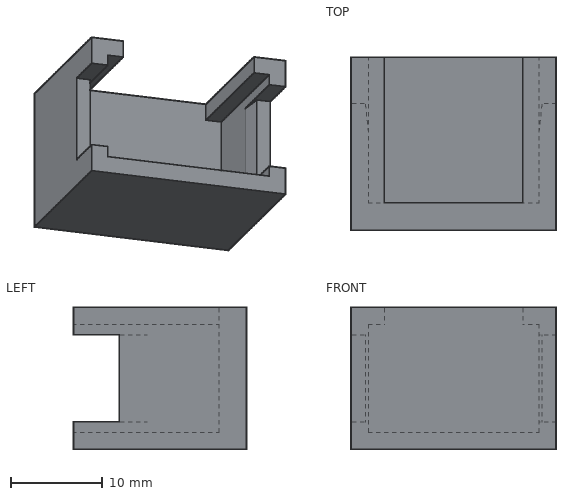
import cadquery as cq

width = 22.53
depth = 19.0
height = 15.6

side_wall = 1.9
front_wall = 3.05
floor_thickness = 1.87
lip_thickness = 1.87

lip_width = 3.67

notch_depth = 5.02
rail_height = 3.05

flare_length = 3.0
flare_offset = 0.32

notch_start = depth - notch_depth
notch_height = height - 2 * rail_height


def box(x_size, y_size, z_size, x, y, z):
    """Box with its lowest corner at (x, y, z)."""
    return cq.Workplane("XY").box(x_size, y_size, z_size, centered=False).translate((x, y, z))


block = box(width, depth, height, 0, 0, 0)

slot = box(
    width - 2 * side_wall,
    depth - front_wall,
    height - floor_thickness - lip_thickness,
    side_wall,
    front_wall,
    floor_thickness,
)

roof_opening = box(
    width - 2 * lip_width,
    depth - front_wall,
    height - floor_thickness,
    lip_width,
    front_wall,
    floor_thickness,
)

notches = box(width, notch_depth, notch_height, 0, notch_start, rail_height)

flare = (
    cq.Workplane("XY")
    .workplane(offset=rail_height)
    .polyline([
        (side_wall, notch_start - flare_length),
        (width - side_wall, notch_start - flare_length),
        (width - side_wall + flare_offset, notch_start),
        (side_wall - flare_offset, notch_start),
    ])
    .close()
    .extrude(notch_height)
)

result = block.cut(slot).cut(roof_opening).cut(notches).cut(flare)